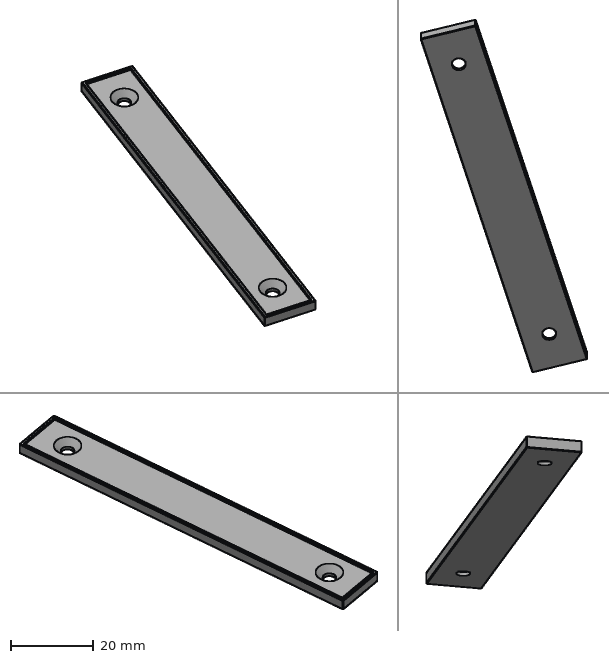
import cadquery as cq
import math

length = 99.0
width = 14.0
edge_chamfer = 0.2

rim_flat_width = 0.6
rim_width = rim_flat_width + 2 * edge_chamfer
recess_length = length - 2 * rim_width
recess_width = width - 2 * rim_width
recess_depth = 0.4

hole_diameter = 3.4
countersink_diameter = 2 * hole_diameter
countersink_angle = 90.0
hole_spacing = 80.0
hole_straight_depth = 0.92

half_angle = math.radians(countersink_angle / 2)
countersink_depth = (countersink_diameter - hole_diameter) / 2 / math.tan(half_angle)
floor_height = hole_straight_depth + countersink_depth
thickness = floor_height + recess_depth


def make_plate():
    """Flat bar with its underside on Z = 0 and every outer edge chamfered."""
    bar = cq.Workplane("XY").box(length, width, thickness, centered=(True, True, False))
    return bar.edges().chamfer(edge_chamfer)


def make_recess():
    """Straight-sided pocket that flares outward at the top to chamfer the rim's inner edge."""
    pocket = (
        cq.Workplane("XY")
        .workplane(offset=floor_height)
        .rect(recess_length, recess_width)
        .extrude(recess_depth)
    )
    flare = (
        cq.Workplane("XY")
        .workplane(offset=thickness - edge_chamfer)
        .rect(recess_length, recess_width)
        .workplane(offset=edge_chamfer)
        .rect(recess_length + 2 * edge_chamfer, recess_width + 2 * edge_chamfer)
        .loft()
    )
    return pocket.union(flare)


def drill_screw_holes(plate):
    """Cut the two through holes, countersunk from the recess floor."""
    return (
        plate.faces(cq.selectors.NearestToPointSelector((0, 0, floor_height)))
        .workplane(origin=(0, 0, floor_height))
        .pushPoints([(-hole_spacing / 2, 0), (hole_spacing / 2, 0)])
        .cskHole(hole_diameter, countersink_diameter, countersink_angle)
    )


result = drill_screw_holes(make_plate().cut(make_recess()))